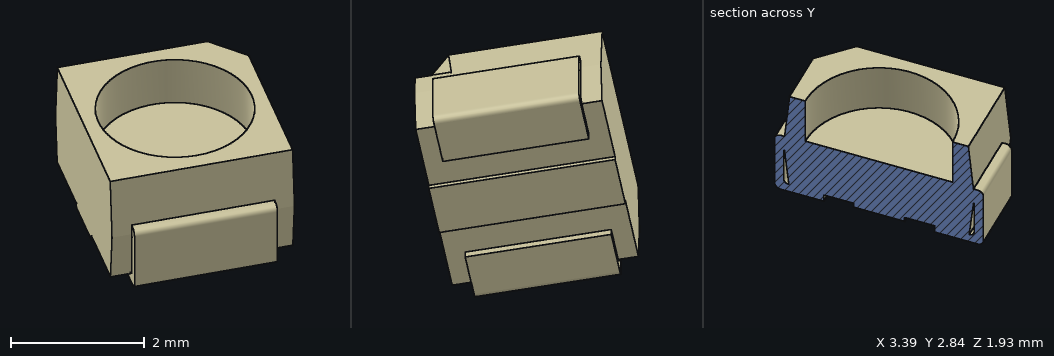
import cadquery as cq

length = 3.39
width = 2.84
height = 1.93

body_bottom_z = 0.125
parting_z = 0.94
half_top = 1.45
half_parting = 1.55
half_bottom = 1.46

cavity_diameter = 2.385
cavity_depth = 0.81

notch_depth = 0.532
notch_leg = 0.502

pad_length = 0.827
pad_bottom_z = 0.047

lead_width = 2.225
lead_thickness = 0.153
lead_top_z = 1.1
lead_radius = 0.102
inner_radius = 0.085
foot_end_x = 0.895
lead_embed = 0.068


def make_body():
    outline = [
        (-half_bottom, body_bottom_z),
        (half_bottom, body_bottom_z),
        (half_parting, parting_z),
        (half_top, height),
        (-half_top, height),
        (-half_parting, parting_z),
    ]
    return cq.Workplane("XZ").polyline(outline).close().extrude(width / 2, both=True)


def make_cavity():
    top = cq.Workplane("XY").workplane(offset=height)
    return top.circle(cavity_diameter / 2).extrude(-cavity_depth)


def make_notch():
    outer_x = -length / 2
    back_y = width / 2
    leg = notch_leg + length / 2 - half_top
    triangle = [
        (outer_x, back_y),
        (outer_x + leg, back_y),
        (outer_x, back_y - leg),
    ]
    top = cq.Workplane("XY").workplane(offset=height)
    return top.polyline(triangle).close().extrude(-notch_depth)


def make_pad():
    pad_height = body_bottom_z - pad_bottom_z
    base = cq.Workplane("XY").workplane(offset=pad_bottom_z)
    return base.rect(pad_length, width).extrude(pad_height)


def make_lead():
    """Left lead: a foot under the body and an upright that meets its side."""
    outer_x = -length / 2
    inner_x = outer_x + lead_thickness
    embed_x = inner_x + lead_embed
    profile = (
        cq.Workplane("XZ")
        .moveTo(-foot_end_x, 0)
        .lineTo(outer_x + lead_radius, 0)
        .radiusArc((outer_x, lead_radius), lead_radius)
        .lineTo(outer_x, lead_top_z - lead_radius)
        .radiusArc((outer_x + lead_radius, lead_top_z), lead_radius)
        .lineTo(embed_x, lead_top_z)
        .lineTo(embed_x, parting_z)
        .lineTo(inner_x, parting_z)
        .lineTo(inner_x, lead_thickness + inner_radius)
        .radiusArc((inner_x + inner_radius, lead_thickness), -inner_radius)
        .lineTo(-foot_end_x, lead_thickness)
        .close()
    )
    return profile.extrude(lead_width / 2, both=True)


body = make_body().cut(make_cavity()).cut(make_notch())
left_lead = make_lead()
right_lead = left_lead.mirror("YZ")
result = body.union(make_pad()).union(left_lead).union(right_lead)